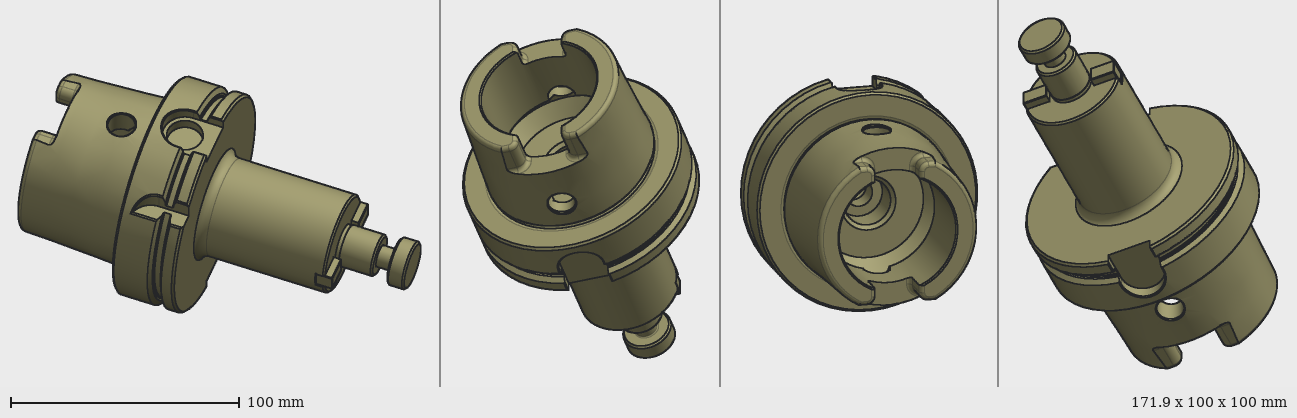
import cadquery as cq
import math

SHANK_LENGTH = 50.0
OVERALL_LENGTH = 171.9
SCREW_END = OVERALL_LENGTH - SHANK_LENGTH

GAUGE_RADIUS = 37.5
GAUGE_DISTANCE = 20.0
TAPER_SLOPE = 0.05
RELIEF_RADIUS = 37.1
RELIEF_START = -2.0
RELIEF_CHAMFER = 0.5
RELIEF_END = -0.5
RELIEF_FACE_RADIUS = 39.5
RELIEF_FACE_DEPTH = 0.3
RIM_RADIUS = 2.0

BORE_DIAMETER = 53.0
SHOULDER_X = -13.8
SHOULDER_LENGTH = 3.0
CHAMBER_RADIUS = 31.5
CHAMBER_FLOOR_X = -1.0
CHAMBER_FLOOR_RADIUS = 25.0
BORE_MOUTH_CHAMFER = 0.7
THREAD_DIAMETER = 24.8
THREAD_CORE_DIAMETER = 21.0
THREAD_DEPTH = 15.5
THREAD_CHAMFER = 1.5
COOLANT_DIAMETER = 12.0
COOLANT_DEPTH = 10.3
DRILL_HALF_ANGLE = 59

NOTCH_HALF_WIDTH = 10.0
NOTCH_LEDGE = 31.6
NOTCH_EAR_RADIUS = 4.0
NOTCH_FLOOR_RADIUS = 2.0
TOP_NOTCH_DEPTH = 10.0
BOTTOM_NOTCH_DEPTH = 15.0
CROSS_HOLE_DIAMETER = 12.0
CROSS_HOLE_MOUTH = 13.0
CROSS_HOLE_X = -14.8

FLANGE_RADIUS = 50.0
FLANGE_WIDTH = 29.0
FLANGE_CHAMFER = 1.0
GROOVE_X = 20.0
GROOVE_RADIUS = 45.9
GROOVE_SHOULDER_RADIUS = 47.5
GROOVE_MOUTH_HALF_WIDTH = 3.3
GROOVE_FLOOR_HALF_WIDTH = 1.9
FLOOR_CORNER = 0.5

CUTTER_RADIUS = 10.0
CUTTER_X = 15.0
SLOT_FLOOR = 44.0
EDGE_CHAMFER = 0.5
CHIP_HOLE_DIAMETER = 16.0
CHIP_HOLE_DEPTH = 5.0
CORNER_NOTCH_FLOOR = 31.3
CORNER_NOTCH_WALL = 31.5

ARBOR_RADIUS = 22.5
ARBOR_END = 89.0
ARBOR_CHAMFER = 0.9
ARBOR_FILLET_RADIUS = 5.0
ARBOR_ROOT_RADIUS = 25.6
SPIGOT_NECK_RADIUS = 9.3
SPIGOT_NECK_END = 91.0
SPIGOT_DIAMETER = 19.0
SPIGOT_END = 106.5
SPIGOT_CHAMFER = 0.9

KEY_WIDTH = 7.9
KEY_X = 84.7
KEY_INNER = 10.7
KEY_OUTER = 21.8
KEY_CHAMFER = 0.3

SCREW_DIAMETER = 10.0
SCREW_THREAD_LENGTH = 17.2
SCREW_HEAD_DIAMETER = 22.0
SCREW_HEAD_X = 113.8
SCREW_HEAD_CHAMFER = 0.9
SCREW_NECK_FILLET = 0.5

CLEARANCE = 17.2


def taper_radius(x):
    return GAUGE_RADIUS + TAPER_SLOPE * (x + GAUGE_DISTANCE)


def turned(profile):
    return profile.close().revolve(360, (0, 0, 0), (1, 0, 0))


def x_cylinder(diameter, start, end):
    return cq.Workplane("YZ", origin=(start, 0, 0)).circle(diameter / 2).extrude(end - start)


def z_cylinder(diameter, x, start, end):
    return cq.Workplane("XY", origin=(x, 0, start)).circle(diameter / 2).extrude(end - start)


def shank_blank():
    relief_floor_x = RELIEF_START + RELIEF_CHAMFER
    return turned(
        cq.Workplane("XY")
        .moveTo(-SHANK_LENGTH, 0)
        .lineTo(-SHANK_LENGTH, taper_radius(-SHANK_LENGTH))
        .lineTo(RELIEF_START, taper_radius(RELIEF_START))
        .lineTo(relief_floor_x, RELIEF_RADIUS)
        .lineTo(RELIEF_END, RELIEF_RADIUS)
        .lineTo(RELIEF_FACE_DEPTH, RELIEF_RADIUS + RELIEF_FACE_DEPTH - RELIEF_END)
        .lineTo(RELIEF_FACE_DEPTH, 0)
    )


def notch(depth, side):
    """Drive notch in the shank end, on the +Z (side = 1) or -Z (side = -1) half."""
    ear_start = NOTCH_LEDGE - NOTCH_EAR_RADIUS
    ear_end = NOTCH_HALF_WIDTH + NOTCH_EAR_RADIUS
    ear_inset = NOTCH_EAR_RADIUS * (1 - math.sqrt(0.5))
    ear_y = NOTCH_HALF_WIDTH + ear_inset
    ear_z = NOTCH_LEDGE - ear_inset
    outside = GAUGE_RADIUS + CLEARANCE
    walls = (
        cq.Workplane("YZ", origin=(-SHANK_LENGTH, 0, 0))
        .moveTo(-NOTCH_HALF_WIDTH, 0)
        .lineTo(NOTCH_HALF_WIDTH, 0)
        .lineTo(NOTCH_HALF_WIDTH, ear_start)
        .threePointArc((ear_y, ear_z), (ear_end, NOTCH_LEDGE))
        .lineTo(outside, NOTCH_LEDGE)
        .lineTo(outside, outside)
        .lineTo(-outside, outside)
        .lineTo(-outside, NOTCH_LEDGE)
        .lineTo(-ear_end, NOTCH_LEDGE)
        .threePointArc((-ear_y, ear_z), (-NOTCH_HALF_WIDTH, ear_start))
        .close()
        .extrude(depth)
    )
    cutter = walls.faces(">X").edges("not(<Z or >Z or <Y or >Y)").fillet(NOTCH_FLOOR_RADIUS)
    if side < 0:
        cutter = cutter.rotate((0, 0, 0), (1, 0, 0), 180)
    return cutter


def shank():
    body = shank_blank().cut(notch(TOP_NOTCH_DEPTH, 1)).cut(notch(BOTTOM_NOTCH_DEPTH, -1))
    return body.faces("<X").edges().fillet(RIM_RADIUS)


def flange_blank():
    return turned(
        cq.Workplane("XY")
        .moveTo(RELIEF_FACE_DEPTH, 0)
        .lineTo(RELIEF_FACE_DEPTH, RELIEF_RADIUS + RELIEF_FACE_DEPTH - RELIEF_END)
        .lineTo(0, RELIEF_FACE_RADIUS)
        .lineTo(0, FLANGE_RADIUS - FLANGE_CHAMFER)
        .lineTo(FLANGE_CHAMFER, FLANGE_RADIUS)
        .lineTo(FLANGE_WIDTH - FLANGE_CHAMFER, FLANGE_RADIUS)
        .lineTo(FLANGE_WIDTH, FLANGE_RADIUS - FLANGE_CHAMFER)
        .lineTo(FLANGE_WIDTH, 0)
    )


def milled_path(y, floor):
    """Cut left by an end mill along Z that enters from the +X face of the flange."""
    depth = FLANGE_RADIUS + CLEARANCE - floor
    run = FLANGE_WIDTH + CLEARANCE - CUTTER_X
    round_end = cq.Workplane("XY", origin=(CUTTER_X, y, floor)).circle(CUTTER_RADIUS).extrude(depth)
    straight = (
        cq.Workplane("XY", origin=(CUTTER_X, y, floor))
        .rect(run, 2 * CUTTER_RADIUS)
        .extrude(depth)
        .translate((run / 2, 0, 0))
    )
    return round_end.union(straight)


def corner_notch():
    return milled_path(-CORNER_NOTCH_WALL - CUTTER_RADIUS, CORNER_NOTCH_FLOOR)


def gripper_groove():
    mouth_left = GROOVE_X - GROOVE_MOUTH_HALF_WIDTH
    mouth_right = GROOVE_X + GROOVE_MOUTH_HALF_WIDTH
    wall_left = GROOVE_X - GROOVE_FLOOR_HALF_WIDTH
    wall_right = GROOVE_X + GROOVE_FLOOR_HALF_WIDTH
    return turned(
        cq.Workplane("XY")
        .moveTo(mouth_left, FLANGE_RADIUS)
        .lineTo(wall_left, GROOVE_SHOULDER_RADIUS)
        .lineTo(wall_left, GROOVE_RADIUS + FLOOR_CORNER)
        .lineTo(wall_left + FLOOR_CORNER, GROOVE_RADIUS)
        .lineTo(wall_right - FLOOR_CORNER, GROOVE_RADIUS)
        .lineTo(wall_right, GROOVE_RADIUS + FLOOR_CORNER)
        .lineTo(wall_right, GROOVE_SHOULDER_RADIUS)
        .lineTo(mouth_right, FLANGE_RADIUS)
    )


def is_recess_rim(edge):
    """True where a milled recess breaks through the outer cylinder of the flange."""
    points = [edge.startPoint(), edge.endPoint()]
    on_cylinder = all(math.isclose(math.hypot(p.y, p.z), FLANGE_RADIUS, rel_tol=1e-4) for p in points)
    away_from_seam = abs(edge.Center().z) > CLEARANCE
    return on_cylinder and away_from_seam and edge.geomType() != "CIRCLE"


def flange():
    slot = milled_path(0, SLOT_FLOOR)
    body = flange_blank().cut(slot).cut(slot.rotate((0, 0, 0), (1, 0, 0), 180)).cut(corner_notch())
    body = body.edges().filter(is_recess_rim).chamfer(EDGE_CHAMFER)
    return body.cut(gripper_groove())


def arbor():
    rise = ARBOR_ROOT_RADIUS - ARBOR_RADIUS
    fillet_end = FLANGE_WIDTH + math.sqrt(rise * (2 * ARBOR_FILLET_RADIUS - rise))
    return turned(
        cq.Workplane("XY")
        .moveTo(CLEARANCE, 0)
        .lineTo(CLEARANCE, ARBOR_ROOT_RADIUS)
        .lineTo(FLANGE_WIDTH, ARBOR_ROOT_RADIUS)
        .radiusArc((fillet_end, ARBOR_RADIUS), -ARBOR_FILLET_RADIUS)
        .lineTo(ARBOR_END - ARBOR_CHAMFER, ARBOR_RADIUS)
        .lineTo(ARBOR_END, ARBOR_RADIUS - ARBOR_CHAMFER)
        .lineTo(ARBOR_END, SPIGOT_NECK_RADIUS)
        .lineTo(SPIGOT_NECK_END, SPIGOT_NECK_RADIUS)
        .lineTo(SPIGOT_NECK_END, SPIGOT_DIAMETER / 2)
        .lineTo(SPIGOT_END - SPIGOT_CHAMFER, SPIGOT_DIAMETER / 2)
        .lineTo(SPIGOT_END, SPIGOT_DIAMETER / 2 - SPIGOT_CHAMFER)
        .lineTo(SPIGOT_END, 0)
    )


def bore():
    bore_radius = BORE_DIAMETER / 2
    thread_floor = CHAMBER_FLOOR_X + THREAD_DEPTH
    coolant_end = thread_floor + COOLANT_DEPTH
    cone = COOLANT_DIAMETER / 2 / math.tan(math.radians(DRILL_HALF_ANGLE))
    return turned(
        cq.Workplane("XY")
        .moveTo(-SHANK_LENGTH, 0)
        .lineTo(-SHANK_LENGTH, bore_radius + BORE_MOUTH_CHAMFER)
        .lineTo(-SHANK_LENGTH + BORE_MOUTH_CHAMFER, bore_radius)
        .lineTo(SHOULDER_X, bore_radius)
        .lineTo(SHOULDER_X + SHOULDER_LENGTH, CHAMBER_RADIUS)
        .lineTo(CHAMBER_FLOOR_X - (CHAMBER_RADIUS - CHAMBER_FLOOR_RADIUS), CHAMBER_RADIUS)
        .lineTo(CHAMBER_FLOOR_X, CHAMBER_FLOOR_RADIUS)
        .lineTo(CHAMBER_FLOOR_X, THREAD_DIAMETER / 2)
        .lineTo(CHAMBER_FLOOR_X + THREAD_CHAMFER, THREAD_CORE_DIAMETER / 2)
        .lineTo(thread_floor, THREAD_CORE_DIAMETER / 2)
        .lineTo(thread_floor, COOLANT_DIAMETER / 2)
        .lineTo(coolant_end, COOLANT_DIAMETER / 2)
        .lineTo(coolant_end + cone, 0)
    )


def cross_hole():
    """Hole through both shank walls, widened by a small countersink at each mouth."""
    mouth_z = taper_radius(CROSS_HOLE_X)
    sink = (CROSS_HOLE_MOUTH - CROSS_HOLE_DIAMETER) / 2
    half = (
        cq.Workplane("XZ")
        .moveTo(0, 0)
        .lineTo(CROSS_HOLE_DIAMETER / 2, 0)
        .lineTo(CROSS_HOLE_DIAMETER / 2, mouth_z - 2 * sink)
        .lineTo(CROSS_HOLE_MOUTH / 2, mouth_z - sink)
        .lineTo(CROSS_HOLE_MOUTH / 2, FLANGE_RADIUS)
        .lineTo(0, FLANGE_RADIUS)
        .close()
        .revolve(360, (0, 0, 0), (0, 1, 0))
        .translate((CROSS_HOLE_X, 0, 0))
    )
    return half.union(half.rotate((0, 0, 0), (1, 0, 0), 180))


def key_bar(side, outer):
    """Square bar along Y from the inner end of a key out to the given distance from the axis."""
    length = outer - KEY_INNER
    return (
        cq.Workplane("XY")
        .box(KEY_WIDTH, length, KEY_WIDTH)
        .translate((KEY_X + KEY_WIDTH / 2, side * (KEY_INNER + length / 2), 0))
    )


def make_holder():
    body = flange().union(shank()).union(arbor())
    body = body.cut(bore())
    body = body.cut(cross_hole())
    body = body.cut(z_cylinder(CHIP_HOLE_DIAMETER, CUTTER_X, SLOT_FLOOR - CHIP_HOLE_DEPTH, FLANGE_RADIUS))
    for side in (1, -1):
        body = body.cut(key_bar(side, ARBOR_RADIUS + CLEARANCE))
    return body.cut(x_cylinder(SCREW_DIAMETER, SPIGOT_END - SCREW_THREAD_LENGTH, SPIGOT_END))


def make_key(side):
    """Drive key with its end face and its outer face bevelled all round."""
    outer_face = ">Y" if side > 0 else "<Y"
    return key_bar(side, KEY_OUTER).faces(f">X or {outer_face}").edges().chamfer(KEY_CHAMFER)


def make_screw():
    stem = x_cylinder(SCREW_DIAMETER, SPIGOT_END - SCREW_THREAD_LENGTH, SCREW_HEAD_X)
    head = x_cylinder(SCREW_HEAD_DIAMETER, SCREW_HEAD_X, SCREW_END).edges().chamfer(SCREW_HEAD_CHAMFER)
    under_head = cq.selectors.BoxSelector(
        (SCREW_HEAD_X - SCREW_NECK_FILLET, -SCREW_DIAMETER, -SCREW_DIAMETER),
        (SCREW_HEAD_X + SCREW_NECK_FILLET, SCREW_DIAMETER, SCREW_DIAMETER),
        boundingbox=True,
    )
    return stem.union(head).edges(under_head).fillet(SCREW_NECK_FILLET)


holder = make_holder()
keys = [make_key(side) for side in (1, -1)]
screw = make_screw()

result = cq.Compound.makeCompound([holder.val(), *[key.val() for key in keys], screw.val()])